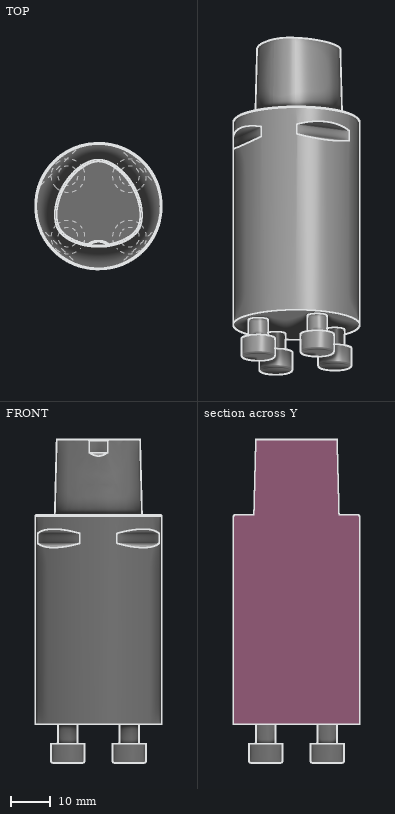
import cadquery as cq
import math

total_height = 81.6
taper_height = 19.0
screw_reach = 9.7
body_top = total_height - taper_height

body_diameter = 32.0
body_radius = body_diameter / 2
body_chamfer = 0.3

groove_count = 4
groove_flat_distance = 14.1
groove_floor_height = 2.5
groove_side_angle = 30.0
groove_floor_fillet = 0.25
groove_center_z = body_top - 5.95

polygon_mean_radius = 11.0
polygon_lobe = 0.7
taper_ratio = 1 / 20
top_mean_radius = polygon_mean_radius - taper_height * taper_ratio / 2
corner_half_angle = 26.0
lobe_count = 3
lobe_pitch = 360 / lobe_count
first_lobe_angle = 90.0
spline_steps = 6

notch_radius = 3.9
notch_cut_depth = 0.9
notch_length = 3.3
notch_chamfer = 0.25
notch_overshoot = 0.8

screw_count = 4
screw_offset = 7.75
screw_circle_radius = screw_offset * math.sqrt(2)
shank_diameter = 5.0
head_diameter = 8.5
head_height = 4.9
head_edge_fillet = 0.6
shank_root_fillet = 0.2
screw_embed = 1.6


def polygon_point(mean_radius, normal_angle):
    """Point of the three-lobed outline whose outward normal has the given angle."""
    normal = math.radians(normal_angle)
    lobe_phase = lobe_count * math.radians(normal_angle - first_lobe_angle)
    support = mean_radius + polygon_lobe * math.cos(lobe_phase)
    slide = -lobe_count * polygon_lobe * math.sin(lobe_phase)
    x = support * math.cos(normal) - slide * math.sin(normal)
    y = support * math.sin(normal) + slide * math.cos(normal)
    return x, y


def polygon_edge(mean_radius, z, start_angle, end_angle):
    angle_step = (end_angle - start_angle) / spline_steps
    points = []
    for i in range(spline_steps + 1):
        x, y = polygon_point(mean_radius, start_angle + i * angle_step)
        points.append(cq.Vector(x, y, z))
    tangents = []
    for angle in (start_angle, end_angle):
        direction = math.radians(angle)
        tangents.append(cq.Vector(-math.sin(direction), math.cos(direction), 0))
    return cq.Edge.makeSpline(points, tangents=tangents)


def polygon_wire(mean_radius, z):
    """Closed outline made of three corner edges and three side edges."""
    edges = []
    for lobe in range(lobe_count):
        lobe_angle = first_lobe_angle + lobe * lobe_pitch
        corner_start = lobe_angle - corner_half_angle
        corner_end = lobe_angle + corner_half_angle
        next_corner_start = corner_start + lobe_pitch
        edges.append(polygon_edge(mean_radius, z, corner_start, corner_end))
        edges.append(polygon_edge(mean_radius, z, corner_end, next_corner_start))
    return cq.Wire.assembleEdges(edges)


def make_taper():
    bottom = polygon_wire(polygon_mean_radius, body_top)
    top = polygon_wire(top_mean_radius, total_height)
    taper = cq.Workplane(obj=cq.Solid.makeLoft([bottom, top], True))
    return taper.cut(make_notch_cutter())


def make_notch_cutter():
    """Cone-tipped round cutter, tilted to follow the slope of the taper."""
    rim_radius = notch_radius + notch_chamfer
    cutter = (
        cq.Workplane("XZ")
        .moveTo(0, -notch_length - notch_radius)
        .lineTo(notch_radius, -notch_length)
        .lineTo(notch_radius, -notch_chamfer)
        .lineTo(rim_radius, 0)
        .lineTo(rim_radius, notch_overshoot)
        .lineTo(0, notch_overshoot)
        .close()
        .revolve(360, (0, 0), (0, 1))
    )
    slope_angle = math.degrees(math.atan(taper_ratio / 2))
    side_y = -(top_mean_radius - polygon_lobe)
    axis_y = side_y + notch_cut_depth - notch_radius
    return cutter.rotate((0, 0, 0), (1, 0, 0), -slope_angle).translate((0, axis_y, total_height))


def make_body():
    body = (
        cq.Workplane("XY", origin=(0, 0, screw_reach))
        .circle(body_radius)
        .extrude(body_top - screw_reach)
        .faces(">Z")
        .chamfer(body_chamfer)
    )
    for i in range(groove_count):
        angle = (i + 0.5) * 360 / groove_count
        body = body.cut(make_groove_cutter().rotate((0, 0, 0), (0, 0, 1), angle))
    return body


def make_groove_cutter():
    """Straight trapezoidal bar lying along Y on the +X side, wider outwards."""
    depth = body_radius - groove_flat_distance
    floor_half = groove_floor_height / 2
    mouth_half = floor_half + depth * math.tan(math.radians(groove_side_angle))
    cutter = (
        cq.Workplane("XZ", origin=(0, 0, groove_center_z))
        .moveTo(groove_flat_distance, -floor_half)
        .lineTo(body_radius, -mouth_half)
        .lineTo(body_radius, mouth_half)
        .lineTo(groove_flat_distance, floor_half)
        .close()
        .extrude(body_radius, both=True)
    )
    return cutter.faces("<X").edges("|Y").fillet(groove_floor_fillet)


def make_screw():
    head = (
        cq.Workplane("XY")
        .circle(head_diameter / 2)
        .extrude(head_height)
        .faces("<Z")
        .edges()
        .fillet(head_edge_fillet)
    )
    shank_length = screw_reach - head_height + screw_embed
    screw = head.faces(">Z").workplane().circle(shank_diameter / 2).extrude(shank_length)
    root_region = cq.selectors.BoxSelector(
        (-shank_diameter, -shank_diameter, head_height - shank_root_fillet),
        (shank_diameter, shank_diameter, head_height + shank_root_fillet),
        boundingbox=False,
    )
    return screw.edges(root_region).edges(cq.selectors.RadiusNthSelector(0)).fillet(shank_root_fillet)


result = make_body().union(make_taper())
for i in range(screw_count):
    angle = math.radians((i + 0.5) * 360 / screw_count)
    x = screw_circle_radius * math.cos(angle)
    y = screw_circle_radius * math.sin(angle)
    result = result.union(make_screw().translate((x, y, 0)))